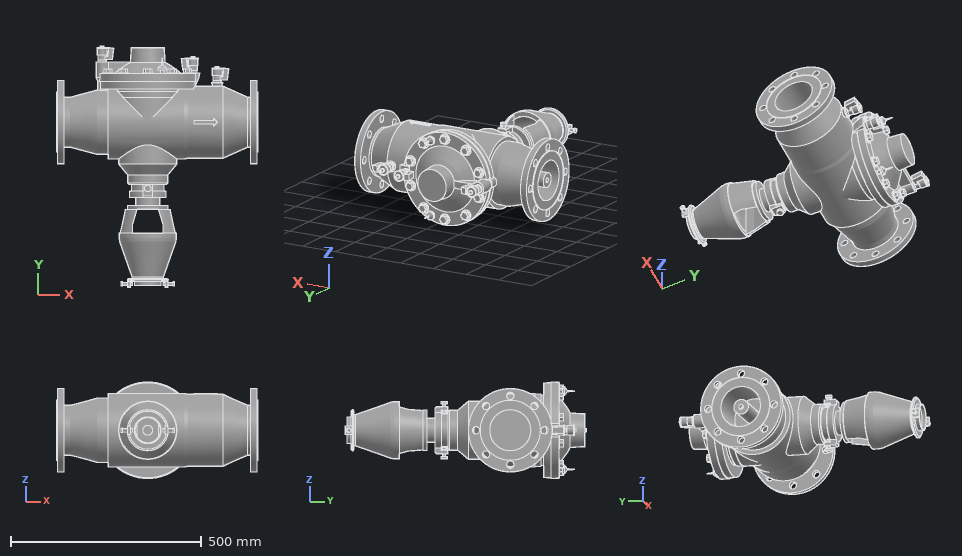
import cadquery as cq
import math


OVERALL_LENGTH = 634.25
OVERLAP = 2.0

INLET_X = -240.0
OUTLET_X = 290.0
FLANGE_DIA = 220.0
FLANGE_THICKNESS = 20.0
RAISED_FACE_DIA = 158.0
RAISED_FACE_HEIGHT = 2.0
BOLT_CIRCLE_DIA = 180.0
FLANGE_HOLE_DIA = 19.0
FLANGE_HOLE_COUNT = 8
NECK_RADIUS = 132.0 / 2
BORE_RADIUS = 108.0 / 2
INLET_PIPE_RADIUS = 85.0
OUTLET_PIPE_RADIUS = 95.0
BODY_RADIUS = 97.0
INLET_NECK_END = -204.0
INLET_CONE_END = -133.0
BODY_START = -104.0
BODY_END = 96.0
BODY_TAPER_END = 106.0
OUTLET_CONE_START = 198.0
OUTLET_NECK_START = 263.0
INLET_HUB_RADIUS = 20.0
INLET_HUB_RECESS = 4.0
HUB_HOLE_DIA = 12.0
HUB_HOLE_DEPTH = 20.0

ARROW_START = 122.0
ARROW_HEAD_START = 173.0
ARROW_TIP = 183.5
ARROW_SHAFT_HALF_WIDTH = 4.4
ARROW_HEAD_HALF_WIDTH = 10.0
ARROW_HEIGHT = 1.5

COVER_RADIUS = 254.1 / 2
LOWER_COVER_RADIUS = 125.0
NECK_STEP_Y = 64.5
NECK_STEP_RADIUS = 95.5
NECK_RECESS_Y = 81.0
NECK_RECESS_RADIUS = 93.0
LOWER_COVER_Y = 88.0
COVER_JOINT_Y = 107.0
COVER_TOP_Y = 127.5
DOME_BASE_RADIUS = 90.0
DOME_TOP_RADIUS = 58.0
DOME_TOP_Y = 151.0
CAP_BASE_RADIUS = 46.0
CAP_TOP_RADIUS = 43.5
CAP_BASE_Y = 157.5
CAP_TOP_Y = 196.0
COVER_BOLT_CIRCLE_RADIUS = 110.0
COVER_BOLT_COUNT = 10
COVER_BOLT_HEAD_DIA = 22.0
COVER_BOLT_TOP_Y = 139.5
WASHER_DIA = 27.6
WASHER_THICKNESS = 2.5

VENT_X = 38.0
VENT_Z = 103.0
VENT_STEM_DIA = 10.0
VENT_HEAD_DIA = 23.0
VENT_HEAD_Y = 138.0
VENT_HEAD_THICKNESS = 5.0
VENT_DOME_HEIGHT = 7.0
VENT_NEEDLE_DIA = 4.0
VENT_NEEDLE_TIP_DIA = 1.0
VENT_NEEDLE_TOP_Y = 169.0

INLET_COCK_X = -120.0
COVER_COCK_X = 119.0
OUTLET_COCK_X = 182.5
INLET_COCK_TOP_Y = 200.0
COVER_COCK_TOP_Y = 172.5
OUTLET_COCK_TOP_Y = 146.0
COCK_BODY_DIA = 25.85
COCK_CAP_DIA = 28.0
COCK_STEM_DIA = 22.0
COCK_LOWER_DIA = 23.0
COCK_UPPER_LENGTH = 17.0
COCK_NUB_DIA = 10.0
COCK_NUB_HEIGHT = 3.5
COCK_CAP_THICKNESS = 3.0
COCK_LENGTH = 36.5
HANDLE_WIDTH = 17.0
HANDLE_TOP_INNER = 17.0
HANDLE_TOP_OUTER = 31.0
HANDLE_BOTTOM_OUTER = 27.0
HANDLE_BOTTOM_INNER = 8.0
HANDLE_WEB_INNER = 14.5
HANDLE_WEB_HEIGHT = 9.0
HANDLE_LIFT = 1.0
HANDLE_TIP_DROP = 2.0
INLET_BOSS_X = -118.0
INLET_BOSS_TOP_Y = 159.0
INLET_BOSS_SHOULDER_Y = 117.0
INLET_BOSS_NECK_Y = 108.0
INLET_BOSS_RADIUS = 18.0
INLET_BOSS_NECK_RADIUS = 14.0
INLET_RIB_HALF_WIDTH = 10.0
LUG_HALF_WIDTH = 18.0
COCK_FOOT_EMBED = 18.0
COVER_LUG_X = 137.0
COVER_LUG_TOP_Y = 129.5
COVER_LUG_SHOULDER_Y = 118.0
COVER_LUG_FOOT_Y = 95.0
OUTLET_PAD_RADIUS = 15.0
OUTLET_PAD_Y = 103.0

BRANCH_RADIUS = 76.5
BRANCH_END_Y = -110.5
SPIGOT_RADIUS = 53.0
SPIGOT_START_Y = -138.7
SPIGOT_END_Y = -164.0
SPIGOT_CHAMFER = 4.0
SEAT_RADIUS = 43.0
YOKE_RADIUS = 48.5
YOKE_START_Y = -181.0
YOKE_END_Y = -198.5
STEM_RADIUS = 32.0
RELIEF_HOLE_DIA = 25.96
RELIEF_HOLE_DEPTH = 40.0

YOKE_LUG_HALF_WIDTH = 12.4
YOKE_LUG_INNER_Z = 52.5
YOKE_LUG_OUTER_Z = 62.0
YOKE_LUG_CHAMFER = 4.0
YOKE_SCREW_Y = -174.0
YOKE_SCREW_DIA = 8.0
YOKE_SCREW_HEAD_DIA = 17.45
YOKE_SCREW_HEAD_THICKNESS = 6.0
YOKE_SCREW_TOP_Z = 75.5
YOKE_NUT_TOP_Z = 50.0
YOKE_NUT_THICKNESS = 4.0

FUNNEL_TOP_Y = -219.0
CAGE_TOP_Y = -229.0
CAGE_END_Y = -291.5
COLLAR_EDGE_Y = -305.0
COLLAR_END_Y = -315.0
CONE_END_Y = -407.0
RIM_Y = -414.5
RIM_HALF_THICKNESS = 1.0
RIM_FLARE_Y = -410.5
RIM_BACK_Y = -418.5
DRAIN_END_Y = -430.0
FUNNEL_TOP_RADIUS = 53.5
CAGE_TOP_RADIUS = 59.0
CAGE_END_RADIUS = 73.0
COLLAR_RADIUS = 75.5
COLLAR_END_RADIUS = 74.0
CONE_END_RADIUS = 41.5
RIM_RADIUS = 54.0
RIM_ROOT_RADIUS = 50.0
DRAIN_RADIUS = 35.5
DRAIN_BORE_RADIUS = 33.0
FUNNEL_BORE_RADIUS = 62.0
WINDOW_TOP_HALF_WIDTH = 28.0
WINDOW_HALF_WIDTH = 39.5
WINDOW_SHOULDER_Y = -268.0

DRAIN_LUG_INNER_X = 46.0
DRAIN_LUG_OUTER_X = 53.0
DRAIN_LUG_HALF_HEIGHT = 11.5
DRAIN_LUG_START_Y = -416.0
DRAIN_LUG_END_Y = INLET_COCK_TOP_Y - OVERALL_LENGTH
DRAIN_SCREW_DIA = 8.0
DRAIN_SCREW_HEAD_DIA = 12.0
DRAIN_SCREW_HEAD_THICKNESS = 3.5
DRAIN_SCREW_INNER_X = 40.0
DRAIN_SCREW_OUTER_X = 70.5


def revolve_about_x(profile):
    """Solid of revolution about X from (x, radius) points; both ends close onto the axis."""
    points = [(profile[0][0], 0)] + profile + [(profile[-1][0], 0)]
    return cq.Workplane("XY").polyline(points).close().revolve(360, (0, 0, 0), (1, 0, 0))


def revolve_about_y(profile, x=0.0, z=0.0):
    """Solid of revolution about a line along Y through (x, z), from (y, radius) points."""
    points = [(0, profile[0][0])] + [(r, y) for y, r in profile] + [(0, profile[-1][0])]
    solid = cq.Workplane("XY").polyline(points).close().revolve(360, (0, 0, 0), (0, 1, 0))
    return solid.translate((x, 0, z))


def rod(start, direction, length, diameter):
    return cq.Workplane(cq.Solid.makeCylinder(diameter / 2, length, cq.Vector(*start), cq.Vector(*direction)))


def box_between(low, high):
    size = [b - a for a, b in zip(low, high)]
    return cq.Workplane("XY").box(*size, centered=False).translate(low)


def plate_across_z(points, half_width):
    """Prism of an XY outline, centred on Z = 0."""
    return cq.Workplane("XY").polyline(points).close().extrude(half_width, both=True)


def make_flow_pipe():
    flange_radius = FLANGE_DIA / 2
    face_radius = RAISED_FACE_DIA / 2
    inlet_face = INLET_X + RAISED_FACE_HEIGHT
    inlet_back = INLET_X + FLANGE_THICKNESS
    outlet_face = OUTLET_X - RAISED_FACE_HEIGHT
    outlet_back = OUTLET_X - FLANGE_THICKNESS
    return revolve_about_x([
        (INLET_X, face_radius), (inlet_face, face_radius),
        (inlet_face, flange_radius), (inlet_back, flange_radius),
        (inlet_back, NECK_RADIUS), (INLET_NECK_END, NECK_RADIUS),
        (INLET_CONE_END, INLET_PIPE_RADIUS), (BODY_START, INLET_PIPE_RADIUS),
        (BODY_START, BODY_RADIUS), (BODY_END, BODY_RADIUS),
        (BODY_TAPER_END, OUTLET_PIPE_RADIUS), (OUTLET_CONE_START, OUTLET_PIPE_RADIUS),
        (OUTLET_NECK_START, NECK_RADIUS), (outlet_back, NECK_RADIUS),
        (outlet_back, flange_radius), (outlet_face, flange_radius),
        (outlet_face, face_radius), (OUTLET_X, face_radius),
    ])


def make_flow_openings():
    """Inlet bore around its central hub, outlet bore, and the flange bolt holes."""
    inlet = rod((INLET_X, 0, 0), (1, 0, 0), BODY_START - INLET_X, 2 * BORE_RADIUS)
    hub_face = INLET_X + INLET_HUB_RECESS
    inlet = inlet.cut(rod((hub_face, 0, 0), (1, 0, 0), BODY_START - hub_face, 2 * INLET_HUB_RADIUS))
    openings = [inlet, rod((hub_face, 0, 0), (1, 0, 0), HUB_HOLE_DEPTH, HUB_HOLE_DIA)]
    openings.append(rod((BODY_TAPER_END, 0, 0), (1, 0, 0), OUTLET_X - BODY_TAPER_END, 2 * BORE_RADIUS))
    for index in range(FLANGE_HOLE_COUNT):
        angle = 2 * math.pi * index / FLANGE_HOLE_COUNT
        y = BOLT_CIRCLE_DIA / 2 * math.cos(angle)
        z = BOLT_CIRCLE_DIA / 2 * math.sin(angle)
        for flange_start in (INLET_X, OUTLET_X - FLANGE_THICKNESS):
            openings.append(rod((flange_start, y, z), (1, 0, 0), FLANGE_THICKNESS, FLANGE_HOLE_DIA))
    return openings


def make_flow_arrow():
    outline = [
        (ARROW_START, ARROW_SHAFT_HALF_WIDTH), (ARROW_HEAD_START, ARROW_SHAFT_HALF_WIDTH),
        (ARROW_HEAD_START, ARROW_HEAD_HALF_WIDTH), (ARROW_TIP, 0),
        (ARROW_HEAD_START, -ARROW_HEAD_HALF_WIDTH), (ARROW_HEAD_START, -ARROW_SHAFT_HALF_WIDTH),
        (ARROW_START, -ARROW_SHAFT_HALF_WIDTH),
    ]
    arrow = cq.Workplane("XY").polyline(outline).close().extrude(ARROW_HEIGHT + OVERLAP)
    return arrow.translate((0, 0, OUTLET_PIPE_RADIUS - OVERLAP))


def make_bonnet():
    return revolve_about_y([
        (0, BODY_RADIUS), (NECK_STEP_Y, BODY_RADIUS),
        (NECK_STEP_Y, NECK_STEP_RADIUS), (NECK_RECESS_Y, NECK_STEP_RADIUS),
        (NECK_RECESS_Y, NECK_RECESS_RADIUS), (LOWER_COVER_Y, NECK_RECESS_RADIUS),
        (LOWER_COVER_Y, LOWER_COVER_RADIUS), (COVER_JOINT_Y, LOWER_COVER_RADIUS),
        (COVER_JOINT_Y, COVER_RADIUS), (COVER_TOP_Y, COVER_RADIUS),
        (COVER_TOP_Y, DOME_BASE_RADIUS), (DOME_TOP_Y, DOME_TOP_RADIUS),
        (CAP_BASE_Y, CAP_BASE_RADIUS), (CAP_TOP_Y, CAP_TOP_RADIUS),
    ])


def make_cover_bolts():
    """Hexagon heads on washers; the first one sits on +Z."""
    bolts = []
    for index in range(COVER_BOLT_COUNT):
        angle = 2 * math.pi * index / COVER_BOLT_COUNT
        x = COVER_BOLT_CIRCLE_RADIUS * math.sin(angle)
        z = COVER_BOLT_CIRCLE_RADIUS * math.cos(angle)
        washer_start = COVER_TOP_Y - OVERLAP
        bolts.append(rod((x, washer_start, z), (0, 1, 0), WASHER_THICKNESS + OVERLAP, WASHER_DIA))
        head = cq.Workplane("XZ", origin=(x, COVER_TOP_Y, z)).polygon(6, COVER_BOLT_HEAD_DIA)
        bolts.append(head.extrude(COVER_TOP_Y - COVER_BOLT_TOP_Y))
    return bolts


def make_vent_screw(z):
    head_top = VENT_HEAD_Y + VENT_HEAD_THICKNESS
    dome_top = head_top + VENT_DOME_HEIGHT
    return revolve_about_y([
        (COVER_TOP_Y - OVERLAP, VENT_STEM_DIA / 2), (VENT_HEAD_Y, VENT_STEM_DIA / 2),
        (VENT_HEAD_Y, VENT_HEAD_DIA / 2), (head_top, VENT_HEAD_DIA / 2),
        (dome_top, VENT_NEEDLE_DIA / 2), (VENT_NEEDLE_TOP_Y, VENT_NEEDLE_TIP_DIA / 2),
    ], VENT_X, z)


def make_test_cock(x, top_y, foot_y, handle_side):
    """Capped cock pointing to +Y with a lever handle on the +X (1) or -X (-1) side."""
    cap_top = top_y - COCK_NUB_HEIGHT
    cap_bottom = cap_top - COCK_CAP_THICKNESS
    body_shoulder = cap_bottom - COCK_UPPER_LENGTH
    body_bottom = top_y - COCK_LENGTH
    cock = revolve_about_y([
        (foot_y, COCK_STEM_DIA / 2), (body_bottom, COCK_STEM_DIA / 2),
        (body_bottom, COCK_LOWER_DIA / 2), (body_shoulder, COCK_LOWER_DIA / 2),
        (body_shoulder, COCK_BODY_DIA / 2), (cap_bottom, COCK_BODY_DIA / 2),
        (cap_bottom, COCK_CAP_DIA / 2), (cap_top, COCK_CAP_DIA / 2),
        (cap_top, COCK_NUB_DIA / 2), (top_y, COCK_NUB_DIA / 2),
    ], x)
    handle_bottom = body_bottom + HANDLE_LIFT
    web_top = handle_bottom + HANDLE_WEB_HEIGHT
    outline = [
        (HANDLE_BOTTOM_INNER, handle_bottom), (HANDLE_BOTTOM_OUTER, handle_bottom),
        (HANDLE_TOP_OUTER, cap_top - HANDLE_TIP_DROP), (HANDLE_TOP_INNER, cap_top),
        (HANDLE_WEB_INNER, web_top), (HANDLE_BOTTOM_INNER, web_top),
    ]
    placed = [(x + handle_side * offset, y) for offset, y in outline]
    return cock.union(plate_across_z(placed, HANDLE_WIDTH / 2))


def make_cock_lugs():
    """Inlet boss with its rib to the cap, wedge lug on the cover, and pad on the outlet pipe."""
    inlet_boss = revolve_about_y([
        (INLET_PIPE_RADIUS - COCK_FOOT_EMBED, INLET_BOSS_NECK_RADIUS),
        (INLET_BOSS_NECK_Y, INLET_BOSS_NECK_RADIUS), (INLET_BOSS_SHOULDER_Y, INLET_BOSS_RADIUS),
        (INLET_BOSS_TOP_Y, INLET_BOSS_RADIUS),
    ], INLET_BOSS_X)
    rib_foot_y = COVER_TOP_Y - OVERLAP
    rib = plate_across_z([
        (INLET_BOSS_X, INLET_BOSS_TOP_Y), (0, INLET_BOSS_TOP_Y), (0, rib_foot_y), (INLET_BOSS_X, rib_foot_y),
    ], INLET_RIB_HALF_WIDTH)
    cover_lug = plate_across_z([
        (COVER_BOLT_CIRCLE_RADIUS, COVER_LUG_TOP_Y), (COVER_LUG_X, COVER_LUG_TOP_Y),
        (COVER_LUG_X - OVERLAP, COVER_LUG_SHOULDER_Y), (LOWER_COVER_RADIUS, COVER_LUG_FOOT_Y),
        (COVER_BOLT_CIRCLE_RADIUS, COVER_LUG_FOOT_Y),
    ], LUG_HALF_WIDTH)
    pad_foot = OUTLET_PIPE_RADIUS - COCK_FOOT_EMBED
    pad = revolve_about_y([
        (pad_foot, COCK_STEM_DIA / 2), (OUTLET_PIPE_RADIUS, COCK_STEM_DIA / 2),
        (OUTLET_PAD_Y, OUTLET_PAD_RADIUS), (OUTLET_PAD_Y + OVERLAP, OUTLET_PAD_RADIUS),
    ], OUTLET_COCK_X)
    return [inlet_boss, rib, cover_lug, pad]


def make_relief_branch():
    return revolve_about_y([
        (0, BRANCH_RADIUS), (BRANCH_END_Y, BRANCH_RADIUS),
        (SPIGOT_START_Y, SPIGOT_RADIUS), (SPIGOT_END_Y + SPIGOT_CHAMFER, SPIGOT_RADIUS),
        (SPIGOT_END_Y, SPIGOT_RADIUS - SPIGOT_CHAMFER), (SPIGOT_END_Y, SEAT_RADIUS),
        (YOKE_START_Y, SEAT_RADIUS), (YOKE_START_Y, YOKE_RADIUS),
        (YOKE_END_Y, YOKE_RADIUS), (YOKE_END_Y, STEM_RADIUS),
        (FUNNEL_TOP_Y - OVERLAP, STEM_RADIUS),
    ])


def make_yoke_clamp(side):
    """Angled lug on the yoke ring with a clamping screw and nut, on the side of Z given by +1 or -1."""
    lug = cq.Workplane("YZ").polyline([
        (YOKE_START_Y, 0), (YOKE_START_Y, YOKE_LUG_INNER_Z), (SPIGOT_END_Y, YOKE_LUG_INNER_Z),
        (SPIGOT_END_Y, YOKE_LUG_OUTER_Z), (YOKE_END_Y + YOKE_LUG_CHAMFER, YOKE_LUG_OUTER_Z),
        (YOKE_END_Y, YOKE_LUG_OUTER_Z - YOKE_LUG_CHAMFER), (YOKE_END_Y, 0),
    ]).close().extrude(YOKE_LUG_HALF_WIDTH, both=True)
    screw = rod((0, YOKE_SCREW_Y, 0), (0, 0, 1), YOKE_SCREW_TOP_Z, YOKE_SCREW_DIA)
    head_start = YOKE_SCREW_TOP_Z - YOKE_SCREW_HEAD_THICKNESS
    head = rod((0, YOKE_SCREW_Y, head_start), (0, 0, 1), YOKE_SCREW_HEAD_THICKNESS, YOKE_SCREW_HEAD_DIA)
    nut_start = YOKE_NUT_TOP_Z - YOKE_NUT_THICKNESS
    nut = rod((0, YOKE_SCREW_Y, nut_start), (0, 0, 1), YOKE_NUT_THICKNESS, YOKE_SCREW_HEAD_DIA)
    clamp = lug.union(screw).union(head).union(nut)
    return clamp if side > 0 else clamp.mirror("XY")


def make_funnel():
    funnel = revolve_about_y([
        (FUNNEL_TOP_Y, FUNNEL_TOP_RADIUS), (CAGE_TOP_Y, FUNNEL_TOP_RADIUS),
        (CAGE_TOP_Y, CAGE_TOP_RADIUS), (CAGE_END_Y, CAGE_END_RADIUS),
        (CAGE_END_Y, COLLAR_RADIUS), (COLLAR_EDGE_Y, COLLAR_RADIUS),
        (COLLAR_END_Y, COLLAR_END_RADIUS), (CONE_END_Y, CONE_END_RADIUS),
        (RIM_FLARE_Y, CONE_END_RADIUS), (RIM_FLARE_Y, RIM_ROOT_RADIUS),
        (RIM_Y + RIM_HALF_THICKNESS, RIM_RADIUS), (RIM_Y - RIM_HALF_THICKNESS, RIM_RADIUS),
        (RIM_BACK_Y, RIM_ROOT_RADIUS), (RIM_BACK_Y, DRAIN_RADIUS), (DRAIN_END_Y, DRAIN_RADIUS),
    ])
    window = plate_across_z([
        (-WINDOW_TOP_HALF_WIDTH, CAGE_TOP_Y), (WINDOW_TOP_HALF_WIDTH, CAGE_TOP_Y),
        (WINDOW_HALF_WIDTH, WINDOW_SHOULDER_Y), (WINDOW_HALF_WIDTH, CAGE_END_Y),
        (-WINDOW_HALF_WIDTH, CAGE_END_Y), (-WINDOW_HALF_WIDTH, WINDOW_SHOULDER_Y),
    ], COLLAR_RADIUS)
    drain = revolve_about_y([
        (CAGE_END_Y, FUNNEL_BORE_RADIUS), (COLLAR_END_Y, FUNNEL_BORE_RADIUS),
        (CONE_END_Y, DRAIN_BORE_RADIUS), (DRAIN_END_Y, DRAIN_BORE_RADIUS),
    ])
    return funnel.cut(window).cut(drain)


def make_drain_clamp(side):
    """Lug under the funnel rim with a cross screw, on the side of X given by +1 or -1."""
    lug = box_between(
        (DRAIN_LUG_INNER_X, DRAIN_LUG_END_Y, -DRAIN_LUG_HALF_HEIGHT),
        (DRAIN_LUG_OUTER_X, DRAIN_LUG_START_Y, DRAIN_LUG_HALF_HEIGHT),
    )
    screw_y = (DRAIN_LUG_START_Y + DRAIN_LUG_END_Y) / 2
    screw_length = DRAIN_SCREW_OUTER_X - DRAIN_SCREW_INNER_X
    screw = rod((DRAIN_SCREW_INNER_X, screw_y, 0), (1, 0, 0), screw_length, DRAIN_SCREW_DIA)
    head_start = DRAIN_SCREW_OUTER_X - DRAIN_SCREW_HEAD_THICKNESS
    head = rod((head_start, screw_y, 0), (1, 0, 0), DRAIN_SCREW_HEAD_THICKNESS, DRAIN_SCREW_HEAD_DIA)
    clamp = lug.union(screw).union(head)
    return clamp if side > 0 else clamp.mirror("YZ")


additions = [make_bonnet(), make_relief_branch(), make_funnel(), make_flow_arrow()]
additions += make_cover_bolts()
additions += make_cock_lugs()
additions += [make_vent_screw(z) for z in (VENT_Z, -VENT_Z)]
additions += [
    make_test_cock(INLET_COCK_X, INLET_COCK_TOP_Y, INLET_BOSS_TOP_Y - OVERLAP, 1),
    make_test_cock(COVER_COCK_X, COVER_COCK_TOP_Y, COVER_TOP_Y - OVERLAP, -1),
    make_test_cock(OUTLET_COCK_X, OUTLET_COCK_TOP_Y, OUTLET_PAD_Y, 1),
]
for clamp_side in (1, -1):
    additions.append(make_yoke_clamp(clamp_side))
    additions.append(make_drain_clamp(clamp_side))

result = make_flow_pipe()
for addition in additions:
    result = result.union(addition)
for opening in make_flow_openings():
    result = result.cut(opening)
result = result.cut(rod((0, CAGE_TOP_Y, 0), (0, 1, 0), RELIEF_HOLE_DEPTH, RELIEF_HOLE_DIA))